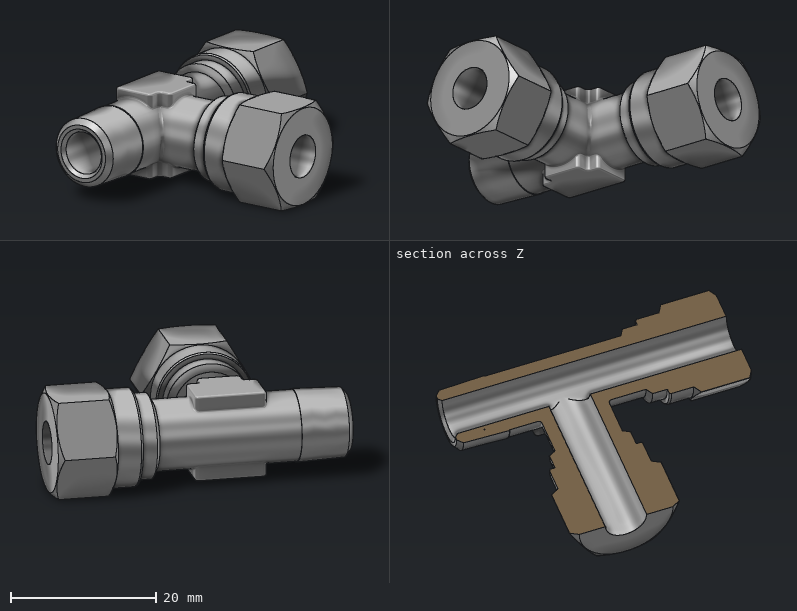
import cadquery as cq
import math


pipe_radius = 10.0 / 2
bore_radius = 6.0 / 2
arm_length = 25.3
run_length = 42.3
tail_length = run_length - arm_length
crotch_fillet = 0.42

hex_width = 14.0
hex_corner_radius = hex_width / 2 / math.cos(math.radians(30))
hex_start = 16.8
hex_chamfer_angle = 30
collar_radius = 13.8 / 2
collar_start = 13.25
collar_chamfer_length = 0.3
collar_chamfer_depth = 0.15

ring_radius = 12.0 / 2
ring_start = 10.5
ring_cone_length = 0.6

taper_start = 9.55
taper_start_radius = 10.2 / 2
taper_end_radius = 9.78 / 2
tip_radius = 8.15 / 2
tip_chamfer_length = 0.7
bore_chamfer = 0.5

pad_half_width = 3.1
pad_reach = 5.08
pad_height = 6.15
pad_corner_fillet = 0.6
pad_top_fillet = 0.3
pad_root_fillet = 0.3


def revolve_about_y(points):
    """Turn an outline of (radius, y) points into a solid around the Y axis."""
    return cq.Workplane("XY").polyline(points).close().revolve(360, (0, 0, 0), (0, 1, 0))


def make_hex():
    """Hexagon along +Y with a corner on X and both ends chamfered by a cone."""
    rise = (hex_corner_radius - collar_radius) * math.tan(math.radians(hex_chamfer_angle))
    prism = (
        cq.Workplane("XZ", origin=(0, hex_start, 0))
        .polygon(6, 2 * hex_corner_radius)
        .extrude(hex_start - arm_length)
    )
    envelope = revolve_about_y([
        (0, hex_start),
        (collar_radius, hex_start),
        (hex_corner_radius, hex_start + rise),
        (hex_corner_radius, arm_length - rise),
        (collar_radius, arm_length),
        (0, arm_length),
    ])
    return prism.intersect(envelope)


def make_nut():
    """Ring, collar and hexagon at the end of an arm pointing along +Y."""
    stepped = revolve_about_y([
        (0, ring_start),
        (pipe_radius, ring_start),
        (ring_radius, ring_start + ring_cone_length),
        (ring_radius, collar_start),
        (collar_radius - collar_chamfer_depth, collar_start),
        (collar_radius, collar_start + collar_chamfer_length),
        (collar_radius, hex_start),
        (0, hex_start),
    ])
    return stepped.union(make_hex())


def turn_to_branch(solid):
    """Turn a solid lying along +Y so that it lies along +X."""
    return solid.rotate((0, 0, 0), (0, 0, 1), -90)


def make_pipe(start, end):
    """Plain round bar along Y."""
    return revolve_about_y([(0, start), (pipe_radius, start), (pipe_radius, end), (0, end)])


def make_pads():
    """T-shaped block whose top and bottom faces are the wrench pads."""
    stem_length = pad_reach + pad_half_width
    stem_middle = (pad_reach - pad_half_width) / 2
    block = (
        cq.Workplane("XY")
        .box(2 * pad_half_width, 2 * pad_reach, 2 * pad_height)
        .union(
            cq.Workplane("XY", origin=(stem_middle, 0, 0))
            .box(stem_length, 2 * pad_half_width, 2 * pad_height)
        )
    )
    block = block.edges("|Z").fillet(pad_corner_fillet)
    return block.faces("<Z or >Z").edges().fillet(pad_top_fillet)


def make_junction():
    """Crossing pipes with the pads blended in."""
    pipes = make_pipe(-taper_start, ring_start)
    pipes = pipes.union(turn_to_branch(make_pipe(0, ring_start)))
    crotch_edges = pipes.edges(cq.selectors.BoxSelector(
        (0, -pipe_radius, -pipe_radius),
        (pipe_radius, pipe_radius, pipe_radius),
    ))
    pipes = crotch_edges.fillet(crotch_fillet)
    junction = pipes.union(make_pads())

    foot_height = math.sqrt(pipe_radius**2 - pad_half_width**2)
    for z in (foot_height, -foot_height):
        foot_edge = junction.edges(cq.NearestToPointSelector((-pad_half_width, 0, z)))
        junction = foot_edge.fillet(pad_root_fillet)
    return junction


def make_tail():
    """Tapered male end with a chamfered tip."""
    return revolve_about_y([
        (0, -taper_start),
        (taper_start_radius, -taper_start),
        (taper_end_radius, tip_chamfer_length - tail_length),
        (tip_radius, -tail_length),
        (0, -tail_length),
    ])


def make_bores():
    """Through bore of the run, chamfered at the tip, and the branch bore meeting it."""
    run = revolve_about_y([
        (0, -tail_length),
        (bore_radius + bore_chamfer, -tail_length),
        (bore_radius, bore_chamfer - tail_length),
        (bore_radius, arm_length),
        (0, arm_length),
    ])
    branch = cq.Workplane("YZ").circle(bore_radius).extrude(arm_length)
    return run.union(branch)


nut = make_nut()
result = (
    make_junction()
    .union(make_tail())
    .union(nut)
    .union(turn_to_branch(nut))
    .cut(make_bores())
)